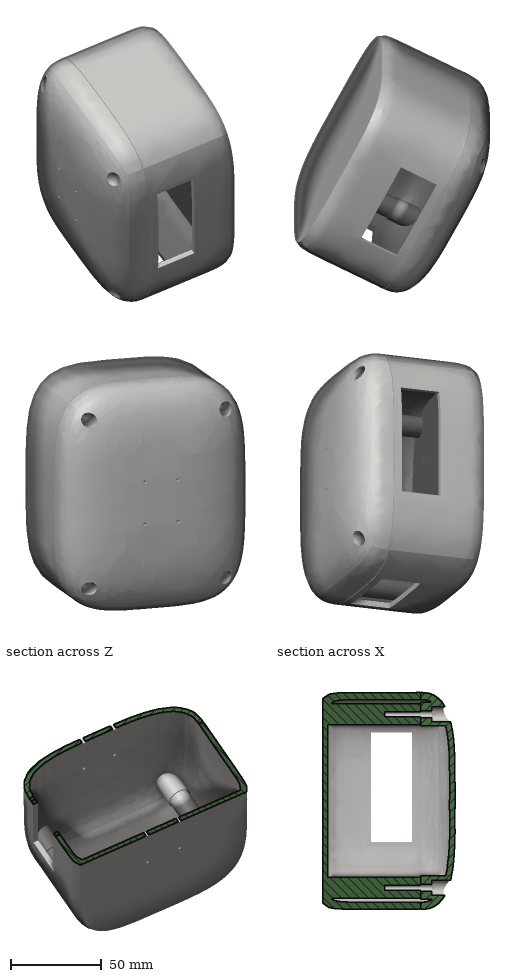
import cadquery as cq

HALF_X = 55.0
HALF_Z = 65.0
COVER_DEPTH = 22.6
HOUSING_DEPTH = 54.0
WALL = 3.0

OUTLINE_POWER = 4.0
RIM_POWER = 3.5
DOME_POWER = 2.5
BACK_DROP = 0.14
BACK_POWER = 17.0
EDGE_DEPTH = 0.57
CORNER_DEPTH = 0.5
PATCH_STEPS = 16
DOME_STEPS = 8
HALVINGS = 50
SKIN_TOLERANCE = 0.001
SEWING_TOLERANCE = 0.02

GROOVE = 0.4

SCREW_X = 39.8
SCREW_Z = 47.8
HEAD_DIAMETER = 8.0
CLEARANCE_DIAMETER = 3.5
PILOT_DIAMETER = 2.5
COVER_BOSS_DIAMETER = 13.3
HOUSING_BOSS_DIAMETER = 12.0
HEAD_SEAT = 6.5
PILOT_DEPTH = 19.5

COVER_HOLE_X = 9.6
COVER_HOLE_Z = 12.0
COVER_HOLE_DIAMETER = 2.0
BACK_HOLE_X = 10.1
BACK_HOLE_Z = 12.4
BACK_HOLE_DIAMETER = 1.5

WINDOW_Y = 16.0
WINDOW_WIDTH = 22.8
SIDE_WINDOW_BOTTOM = -22.8
SIDE_WINDOW_TOP = 37.7
BOTTOM_WINDOW_LENGTH = 48.1
FRAME_MARGIN = 2.3


def outline_radius(across, up):
    """Size of the superellipse through a point whose half axes are 1."""
    return (abs(across) ** OUTLINE_POWER + abs(up) ** OUTLINE_POWER) ** (1 / OUTLINE_POWER)


def dome_point(across, depth, up):
    """Point of the unit dome in the given direction, found by halving the search interval.

    The directions used are long enough for the dome to be met before twice their length.
    """
    radius = outline_radius(across, up)
    near, far = 0.0, 2.0
    for _ in range(HALVINGS):
        reach = (near + far) / 2
        if (reach * radius) ** RIM_POWER + (reach * depth) ** DOME_POWER < 1:
            near = reach
        else:
            far = reach
    return near * across, near * depth, near * up


def border_depth(across, up):
    """Depth share of the directions in which the front face ends."""
    return EDGE_DEPTH - (EDGE_DEPTH - CORNER_DEPTH) * (across * up) ** 2


def skin(inset):
    """Solid bounded by the outer skin moved inwards by inset, from the dome to the back face."""
    half_x = HALF_X - inset
    half_z = HALF_Z - inset
    cover_depth = COVER_DEPTH - inset
    housing_depth = HOUSING_DEPTH - inset
    steps = [2 * i / PATCH_STEPS - 1 for i in range(PATCH_STEPS + 1)]

    def on_dome(across, depth, up):
        x, y, z = dome_point(across, depth, up)
        return cq.Vector(half_x * x, -cover_depth * y, half_z * z)

    def on_wall(across, part, up):
        scale = (1 - BACK_DROP * part**BACK_POWER) ** (1 / RIM_POWER) / outline_radius(across, up)
        return cq.Vector(half_x * scale * across, housing_depth * part, half_z * scale * up)

    def front_point(across, up):
        return on_dome(across, border_depth(across, up), up)

    def side_row(across, up):
        border = border_depth(across, up)
        dome_row = [on_dome(across, border * (1 - i / DOME_STEPS), up) for i in range(DOME_STEPS)]
        wall_row = [on_wall(across, i / PATCH_STEPS, up) for i in range(PATCH_STEPS + 1)]
        return dome_row + wall_row

    front_points = [[front_point(u, v) for v in steps] for u in steps]
    front = cq.Face.makeSplineApprox(front_points, SKIN_TOLERANCE)

    sides = []
    for sign in (-1, 1):
        x_rows = [side_row(sign, step) for step in steps]
        z_rows = [side_row(step, sign) for step in steps]
        sides.append(cq.Face.makeSplineApprox(x_rows, SKIN_TOLERANCE))
        sides.append(cq.Face.makeSplineApprox(z_rows, SKIN_TOLERANCE))

    back = cq.Face.makeFromWires(cq.Wire.assembleEdges([side.edges(">Y") for side in sides]))
    shell = cq.occ_impl.shapes.shell(front, *sides, back, tol=SEWING_TOLERANCE)
    return cq.Workplane(cq.occ_impl.shapes.solid(shell))


def corner_cylinders(x, z, diameter, y_start, y_end):
    """Four cylinders along Y, mirrored about both middle planes."""
    corners = [(sx * x, sz * z) for sx in (-1, 1) for sz in (-1, 1)]
    return (
        cq.Workplane("XZ", origin=(0, y_start, 0))
        .pushPoints(corners)
        .circle(diameter / 2)
        .extrude(y_start - y_end)
    )


def block(x_range, y_centre, y_width, z_range):
    """Box given by its X and Z ranges and its middle and width along Y."""
    return (
        cq.Workplane()
        .box(x_range[1] - x_range[0], y_width, z_range[1] - z_range[0], centered=(False, True, False))
        .translate((x_range[0], y_centre, z_range[0]))
    )


def rim_block(y_start, y_end):
    """Box wider than the part, between two places along Y."""
    half_x = HALF_X + WALL
    half_z = HALF_Z + WALL
    return block((-half_x, half_x), (y_start + y_end) / 2, y_end - y_start, (-half_z, half_z))


outer_skin = skin(0)
inner_skin = skin(WALL)


def make_cover():
    bosses = corner_cylinders(SCREW_X, SCREW_Z, COVER_BOSS_DIAMETER, -COVER_DEPTH, 0)
    cavity = inner_skin.cut(bosses)
    cover = outer_skin.cut(rim_block(0, HOUSING_DEPTH + WALL)).cut(cavity)

    heads = corner_cylinders(SCREW_X, SCREW_Z, HEAD_DIAMETER, -COVER_DEPTH, -HEAD_SEAT)
    shanks = corner_cylinders(SCREW_X, SCREW_Z, CLEARANCE_DIAMETER, -COVER_DEPTH, 0)
    small_holes = corner_cylinders(
        COVER_HOLE_X, COVER_HOLE_Z, COVER_HOLE_DIAMETER, -COVER_DEPTH - WALL, 0
    )
    groove = rim_block(-GROOVE, 0).cut(skin(GROOVE))
    return cover.cut(heads).cut(shanks).cut(small_holes).cut(groove)


def frame_block():
    return block(
        (HALF_X / 2, HALF_X + WALL),
        WINDOW_Y,
        WINDOW_WIDTH + 2 * FRAME_MARGIN,
        (SIDE_WINDOW_BOTTOM - FRAME_MARGIN, SIDE_WINDOW_TOP + FRAME_MARGIN),
    )


def make_housing():
    bosses = corner_cylinders(SCREW_X, SCREW_Z, HOUSING_BOSS_DIAMETER, 0, HOUSING_DEPTH)
    cavity = inner_skin.cut(bosses)
    housing = outer_skin.cut(rim_block(-COVER_DEPTH - WALL, 0)).cut(cavity)

    pilots = corner_cylinders(SCREW_X, SCREW_Z, PILOT_DIAMETER, 0, PILOT_DEPTH)
    back_holes = corner_cylinders(
        BACK_HOLE_X, BACK_HOLE_Z, BACK_HOLE_DIAMETER, HOUSING_DEPTH - 2 * WALL, HOUSING_DEPTH
    )
    half_length = BOTTOM_WINDOW_LENGTH / 2
    bottom_window = block(
        (-half_length, half_length), WINDOW_Y, WINDOW_WIDTH, (-HALF_Z - WALL, -HALF_Z / 2)
    )
    return housing.cut(pilots).cut(back_holes).cut(bottom_window).cut(frame_block())


def make_frame():
    """Frame set flush into the +X wall, around the side window."""
    window = block(
        (HALF_X / 2, HALF_X + WALL), WINDOW_Y, WINDOW_WIDTH, (SIDE_WINDOW_BOTTOM, SIDE_WINDOW_TOP)
    )
    return frame_block().intersect(outer_skin).cut(inner_skin).cut(window)


cover = make_cover()
housing = make_housing()
frame = make_frame()

result = cq.Compound.makeCompound(
    [cover.solids().val(), housing.solids().val(), frame.solids().val()]
)